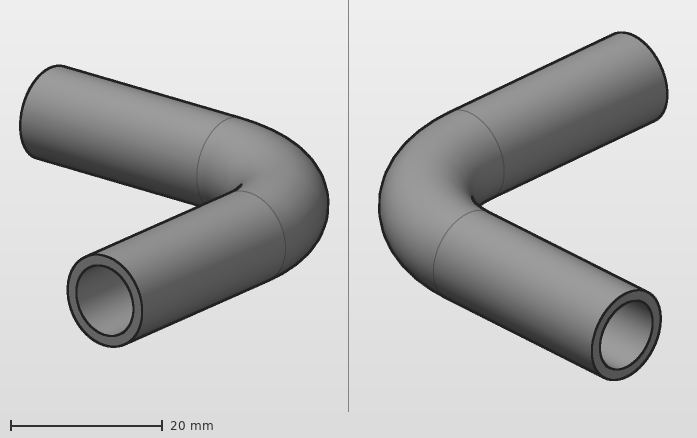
import cadquery as cq
import math

overall_length = 55.4
outer_diameter = 12.7
bore_diameter = 9.7
bend_radius = 19.05

leg_length = overall_length - bend_radius - outer_diameter / 2

diagonal = bend_radius * math.sqrt(0.5)
centreline = (
    cq.Workplane("XY")
    .moveTo(-leg_length, bend_radius)
    .lineTo(0, bend_radius)
    .threePointArc((diagonal, diagonal), (bend_radius, 0))
    .lineTo(bend_radius, -leg_length)
)

result = (
    cq.Workplane("YZ", origin=(-leg_length, bend_radius, 0))
    .circle(outer_diameter / 2)
    .circle(bore_diameter / 2)
    .sweep(centreline)
)